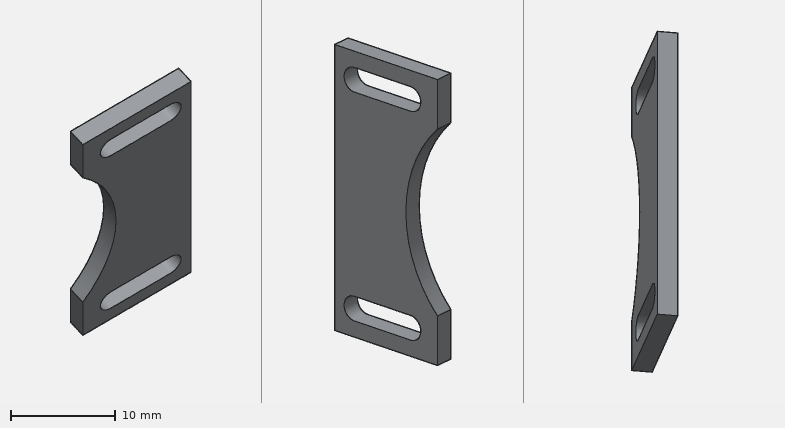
import cadquery as cq

thickness = 2.0
width = 12.9
height = 30.0

cutout_radius = 14.1
cutout_depth = 3.95

slot_length = 9.6
slot_width = 2.58
slot_spacing = 24.0
slot_offset = 0.45


def make_plate():
    return cq.Workplane("XY").box(thickness, width, height)


def make_edge_cutout():
    center_y = -width / 2 + cutout_depth - cutout_radius
    return (
        cq.Workplane("YZ")
        .center(center_y, 0)
        .circle(cutout_radius)
        .extrude(thickness, both=True)
    )


def make_slots():
    half_spacing = slot_spacing / 2
    return (
        cq.Workplane("YZ")
        .pushPoints([(slot_offset, -half_spacing), (slot_offset, half_spacing)])
        .slot2D(slot_length, slot_width)
        .extrude(thickness, both=True)
    )


result = make_plate().cut(make_edge_cutout()).cut(make_slots())